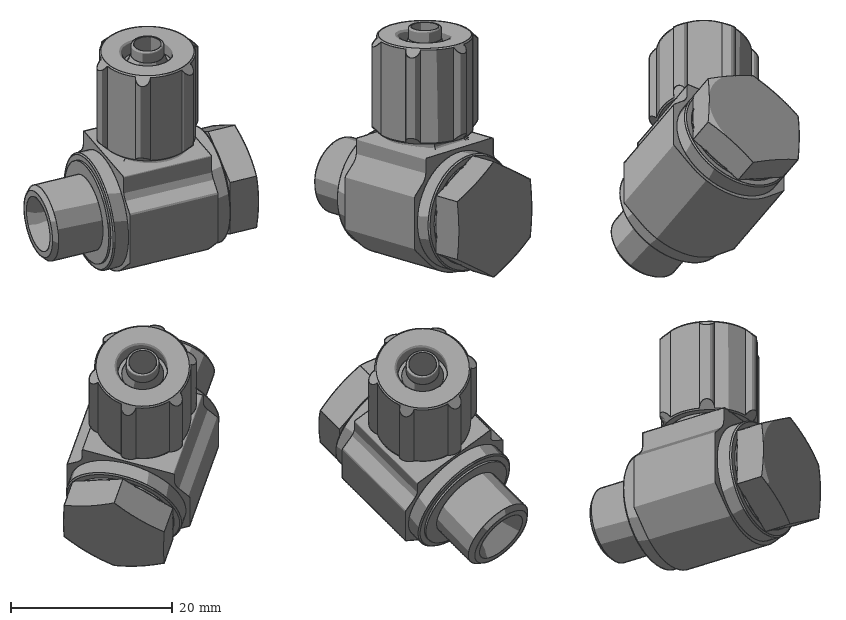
import cadquery as cq
import math


body_width = 16.0
body_radius = body_width / 2
body_half_depth = 6.0
shoulder_half_width = 6.0
shoulder_fillet = 1.98
side_corner_height = 3.47
shoulder_height = 5.35
flat_edge_fillet = 0.5
top_edge_fillet = 0.25

collar_diameter = 15.0
collar_end = 8.0
collar_chamfer = 0.18
washer_diameter = 13.2
washer_end = 8.3
hex_across_flats = 13.0
hex_end = 12.2
hex_sides = 6
hex_chamfer_drop = 0.27
hex_chamfer_radius = 6.52
thread_diameter = 9.72
thread_end = -14.9
thread_chamfer = 0.58
bolt_bore_diameter = 4.0
bolt_bore_end = 3.05
drill_point_angle = 118
countersink_diameter = 7.05
countersink_angle = 60

neck_diameter = 10.0
neck_across_flats = 8.5
neck_fillet = 0.43

nut_bottom = 9.0
nut_top = 21.45
nut_radius = 5.97
nut_chamfer = 0.18
rib_count = 6
rib_radius = 0.95
rib_tip_radius = 6.8
rib_chamfer = rib_tip_radius - nut_radius + nut_chamfer
nut_opening_diameter = 6.2
nut_opening_fillet = 0.6
nut_opening_floor = 19.6

overall_height = 30.47
nipple_top = overall_height - body_radius
nipple_diameter = 4.1
nipple_edge_fillet = 0.25
nipple_bore_diameter = 3.4
barb_diameter = 5.2
barb_top = 20.95


def cylinder_along_y(diameter, start, end):
    """Solid cylinder on the Y axis; start must be below end."""
    disc = cq.Workplane("XZ", origin=(0, end, 0)).circle(diameter / 2)
    return disc.extrude(end - start)


def revolve_about_y(points):
    """Revolve a closed outline of (radius, y) points about the Y axis."""
    return cq.Workplane("XY").polyline(points).close().revolve(360, (0, 0), (0, 1))


def revolve_about_z(points):
    """Revolve a closed outline of (radius, z) points about the Z axis."""
    return cq.Workplane("XZ").polyline(points).close().revolve(360, (0, 0), (0, 1))


def make_body():
    tangent_angle = 2 * math.atan2(side_corner_height, body_radius)
    tangent_x = body_radius * math.cos(tangent_angle)
    tangent_z = -body_radius * math.sin(tangent_angle)
    body = (
        cq.Workplane("XZ", origin=(0, body_half_depth, 0))
        .moveTo(-shoulder_half_width, body_radius)
        .lineTo(shoulder_half_width, body_radius)
        .lineTo(shoulder_half_width, shoulder_height)
        .lineTo(body_radius, side_corner_height)
        .lineTo(body_radius, -side_corner_height)
        .lineTo(tangent_x, tangent_z)
        .threePointArc((0, -body_radius), (-tangent_x, tangent_z))
        .lineTo(-body_radius, -side_corner_height)
        .lineTo(-body_radius, side_corner_height)
        .lineTo(-shoulder_half_width, shoulder_height)
        .close()
        .extrude(2 * body_half_depth)
    )

    def fillet_edge_pair(solid, x, z, radius):
        for side in (-x, x):
            solid = solid.edges(cq.NearestToPointSelector((side, 0, z))).fillet(radius)
        return solid

    body = fillet_edge_pair(body, shoulder_half_width, shoulder_height, shoulder_fillet)
    body = fillet_edge_pair(body, body_radius, side_corner_height, flat_edge_fillet)
    body = fillet_edge_pair(body, body_radius, -side_corner_height, flat_edge_fillet)
    return fillet_edge_pair(body, shoulder_half_width, body_radius, top_edge_fillet)


def make_hex_head():
    circumscribed_diameter = hex_across_flats / math.cos(math.pi / hex_sides)
    corner_radius = circumscribed_diameter / 2
    head = (
        cq.Workplane("XZ", origin=(0, hex_end, 0))
        .polygon(hex_sides, circumscribed_diameter)
        .extrude(hex_end - washer_end)
        .rotate((0, 0, 0), (0, 1, 0), 180 / hex_sides)
    )
    chamfer_envelope = revolve_about_y([
        (0, washer_end),
        (corner_radius, washer_end),
        (corner_radius, hex_end - hex_chamfer_drop),
        (hex_chamfer_radius, hex_end),
        (0, hex_end),
    ])
    return head.intersect(chamfer_envelope)


def make_bolt():
    collar = cylinder_along_y(collar_diameter, -collar_end, collar_end)
    collar = collar.faces("<Y or >Y").edges().chamfer(collar_chamfer)
    washers = cylinder_along_y(washer_diameter, -washer_end, washer_end)
    thread = cylinder_along_y(thread_diameter, thread_end, 0)
    thread = thread.faces("<Y").edges().chamfer(thread_chamfer)
    return collar.union(washers).union(thread).union(make_hex_head())


def make_bolt_bore():
    bore_radius = bolt_bore_diameter / 2
    mouth_radius = countersink_diameter / 2
    countersink_depth = (mouth_radius - bore_radius) / math.tan(math.radians(countersink_angle / 2))
    point_length = bore_radius / math.tan(math.radians(drill_point_angle / 2))
    return revolve_about_y([
        (0, thread_end),
        (mouth_radius, thread_end),
        (bore_radius, thread_end + countersink_depth),
        (bore_radius, bolt_bore_end),
        (0, bolt_bore_end + point_length),
    ])


def make_neck():
    flats = cq.Workplane("XY", origin=(0, 0, body_radius)).rect(neck_diameter, neck_across_flats)
    neck = cq.Workplane("XY", origin=(0, 0, body_radius)).circle(neck_diameter / 2)
    height = nut_bottom - body_radius
    return neck.extrude(height).intersect(flats.extrude(height))


def make_nut():
    height = nut_top - nut_bottom
    nut = cq.Workplane("XY", origin=(0, 0, nut_bottom)).circle(nut_radius).extrude(height)
    nut = nut.faces("<Z or >Z").edges().chamfer(nut_chamfer)
    smallest_circle = cq.selectors.RadiusNthSelector(0)
    opening = cq.Workplane("XY", origin=(0, 0, nut_opening_floor)).circle(nut_opening_diameter / 2)
    nut = nut.cut(opening.extrude(nut_top - nut_opening_floor))
    nut = nut.faces(">Z").edges(smallest_circle).fillet(nut_opening_fillet)

    ribs = (
        cq.Workplane("XY", origin=(0, 0, nut_bottom))
        .polarArray(rib_tip_radius - rib_radius, 90, 360, rib_count)
        .circle(rib_radius)
        .extrude(height)
    )
    rib_envelope = (
        cq.Workplane("XY", origin=(0, 0, nut_bottom))
        .circle(rib_tip_radius)
        .extrude(height)
        .faces("<Z or >Z")
        .edges()
        .chamfer(rib_chamfer)
    )
    return nut.union(ribs.intersect(rib_envelope))


def make_nipple():
    nipple = revolve_about_z([
        (0, nut_bottom),
        (barb_diameter / 2, nut_bottom),
        (barb_diameter / 2, nut_opening_floor),
        (nipple_diameter / 2, barb_top),
        (nipple_diameter / 2, nipple_top),
        (0, nipple_top),
    ])
    return nipple.faces(">Z").edges().fillet(nipple_edge_fillet)


def fillet_neck_base(solid):
    margin = 0.03
    reach = neck_diameter / 2 + margin
    base_edges = cq.selectors.BoxSelector(
        (-reach, -reach, body_radius - margin),
        (reach, reach, body_radius + margin),
        boundingbox=True,
    )
    return solid.edges(base_edges).fillet(neck_fillet)


body_with_neck = fillet_neck_base(make_body().union(make_neck()))
nipple_bore = (
    cq.Workplane("XY")
    .circle(nipple_bore_diameter / 2)
    .extrude(nipple_top)
)

result = (
    body_with_neck
    .union(make_bolt())
    .union(make_nut())
    .union(make_nipple())
    .cut(make_bolt_bore())
    .cut(nipple_bore)
)